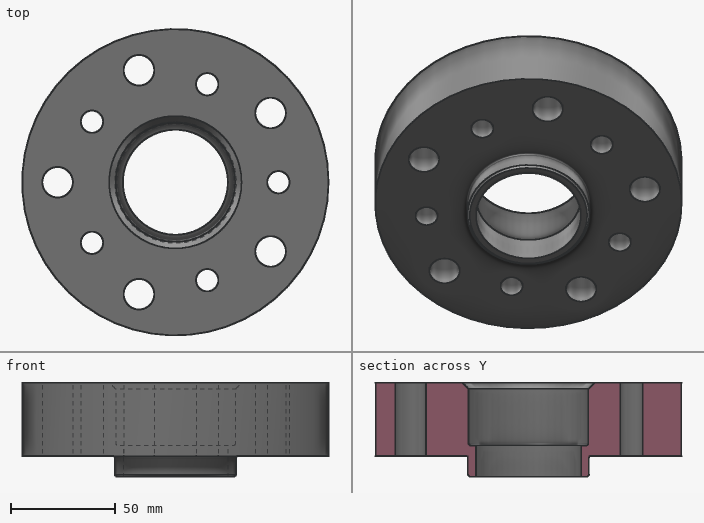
import cadquery as cq
import math

flange_diameter = 146.0
flange_thickness = 35.0

hub_diameter = 58.0
total_height = 45.0
hub_height = total_height - flange_thickness
hub_edge_chamfer = 1.0
hub_root_radius = 0.7

through_bore_diameter = 50.0
counterbore_diameter = 57.0
counterbore_depth = 30.0
counterbore_floor_radius = 1.0
mouth_chamfer = 3.0

holes_per_ring = 5
large_hole_diameter = 14.5
large_ring_radius = 56.0
large_ring_start = 180.0
small_hole_diameter = 10.5
small_ring_radius = 49.0
small_ring_start = 0.0


def arc_middle(center_x, center_z, radius, angle):
    """Point on a profile fillet, at an angle in degrees about its centre."""
    a = math.radians(angle)
    return (center_x + radius * math.cos(a), center_z + radius * math.sin(a))


def turned_body():
    """Revolve the half section of flange, hub and stepped bore about Z."""
    flange_radius = flange_diameter / 2
    hub_radius = hub_diameter / 2
    through_radius = through_bore_diameter / 2
    counterbore_radius = counterbore_diameter / 2
    floor_z = flange_thickness - counterbore_depth
    edge = hub_edge_chamfer
    root = hub_root_radius
    inner = counterbore_floor_radius

    root_middle = arc_middle(hub_radius + root, -root, root, 135)
    floor_middle = arc_middle(counterbore_radius - inner, floor_z + inner, inner, -45)

    section = (
        cq.Workplane("XZ")
        .moveTo(through_radius, -hub_height)
        .lineTo(hub_radius - edge, -hub_height)
        .lineTo(hub_radius, edge - hub_height)
        .lineTo(hub_radius, -root)
        .threePointArc(root_middle, (hub_radius + root, 0))
        .lineTo(flange_radius, 0)
        .lineTo(flange_radius, flange_thickness)
        .lineTo(counterbore_radius + mouth_chamfer, flange_thickness)
        .lineTo(counterbore_radius, flange_thickness - mouth_chamfer)
        .lineTo(counterbore_radius, floor_z + inner)
        .threePointArc(floor_middle, (counterbore_radius - inner, floor_z))
        .lineTo(through_radius, floor_z)
        .close()
    )
    return section.revolve(360, (0, 0, 0), (0, 1, 0))


def hole_ring(diameter, ring_radius, start_angle):
    """Cylinders through the flange, evenly spaced on one ring."""
    return (
        cq.Workplane("XY")
        .polarArray(ring_radius, start_angle, 360, holes_per_ring)
        .circle(diameter / 2)
        .extrude(flange_thickness)
    )


result = (
    turned_body()
    .cut(hole_ring(large_hole_diameter, large_ring_radius, large_ring_start))
    .cut(hole_ring(small_hole_diameter, small_ring_radius, small_ring_start))
)